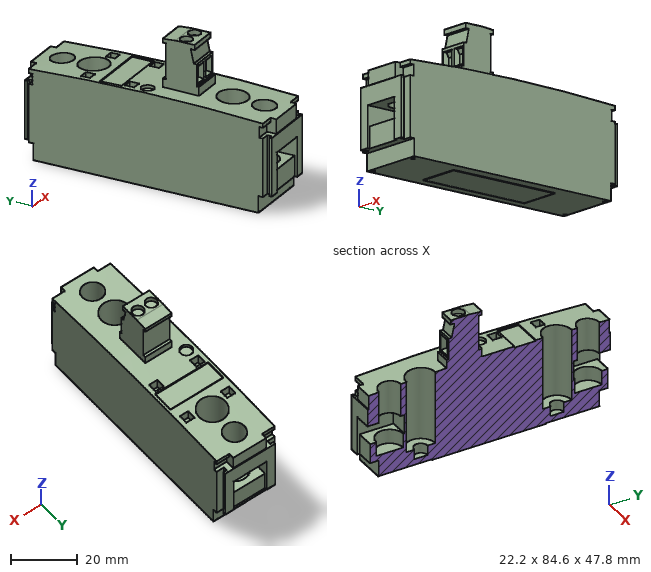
import cadquery as cq

width = 22.2
length = 84.6
base_length = 77.15
body_length = 80.2
base_top = 5.6
lid_bottom = 25.0
feet_height = 0.25

flange_width = 19.1
flange_thickness = 0.85
web_width = 16.6
window_width = 12.5
window_top = 18.95
terminal_top = 12.5
chamber_back = 29.6
terminal_hole_radius = 4.65
terminal_hole_depth = 4.9

crown_end_z = 29.9
crown_middle_z = 31.1
lid_length = 84.1
lid_ledge_z = 28.6
lid_neck_length = 77.7
access_hole_y = 34.6
access_hole_radius = 3.8
mount_hole_y = 23.8
counterbore_radius = 5.0
pilot_hole_radius = 2.3
pilot_hole_depth = 3.4

label_width = 20.1
label_length = 7.45
label_y = 12.5
label_floor_z = 30.6
latch_size = 3.1
latch_x = 7.8
latch_middle_y = 14.05
latch_offset_y = 7.5
latch_depth = 3.4
lamp_radius = 2.1
lamp_x = -7.8
lamp_y = 1.2
lamp_depth = 1.1

plug_width = 10.1
plug_pitch = 5.1
plug_back = -2.45
plug_body_back = -3.5
plug_body_front = -14.1
plug_base_front = -14.9
plug_base_top = 33.9
plug_shelf_back = -13.1
plug_shelf_z = 41.3
plug_neck_front = -12.1
plug_cap_front = -13.4
plug_cap_bottom = 45.85
plug_fold_y = -6.7
plug_top = 47.55
plug_back_top = 47.2
screw_hole_radius = 2.0
screw_hole_y = -9.2
screw_hole_depth = 1.7
wire_entry_width = 3.9
wire_entry_bottom = 34.7
wire_entry_top = 40.3
wire_entry_depth = 1.7
wire_seat_width = 2.8
wire_seat_bottom = 35.2
wire_seat_top = 40.1
wire_slope_bottom = 38.6
wire_slope_depth = 0.8

foot_radius = 0.6
foot_x = 9.3
foot_y = 37.6
pad_width = 14.2
pad_length = 39.6


def block(x_size, y_range, z_range):
    """Box centred on X = 0 between two Y values and two Z values."""
    y_low, y_high = y_range
    z_low, z_high = z_range
    solid = cq.Workplane("XY").box(x_size, y_high - y_low, z_high - z_low, centered=(True, False, False))
    return solid.translate((0, y_low, z_low))


def centred_block(x_size, y_size, z_range):
    return block(x_size, (-y_size / 2, y_size / 2), z_range)


def cylinder(x, y, radius, z_range):
    """Upright cylinder between two Z values."""
    z_low, z_high = z_range
    return cq.Workplane("XY", origin=(x, y, z_low)).circle(radius).extrude(z_high - z_low)


def at_both_ends(front):
    """A solid on the -Y end together with its mirror image on the +Y end."""
    return front.union(front.mirror("XZ"))


def housing():
    body = centred_block(width, base_length, (0, base_top))
    body = body.union(centred_block(width, body_length, (base_top, lid_bottom)))
    web_length = length - 2 * flange_thickness
    body = body.union(centred_block(web_width, web_length, (base_top, lid_bottom)))
    flange = block(flange_width, (-length / 2, -length / 2 + flange_thickness), (base_top, lid_bottom))
    return body.union(at_both_ends(flange))


def terminal_chambers():
    """Window through each flange, chamber above the terminal and hole into the terminal."""
    front = -length / 2
    window = block(window_width, (front, front + flange_thickness), (base_top, window_top))
    chamber = block(window_width, (front, -chamber_back), (terminal_top, window_top))
    hole_bottom = terminal_top - terminal_hole_depth
    hole = cylinder(0, -access_hole_y, terminal_hole_radius, (hole_bottom, terminal_top))
    return at_both_ends(window.union(chamber).union(hole))


def lid():
    """Cover with a crowned top; a tongue at each end reaches over the end plate."""
    half = length / 2
    crown = (
        cq.Workplane("YZ", origin=(-width / 2, 0, 0))
        .moveTo(-half, lid_bottom)
        .lineTo(half, lid_bottom)
        .lineTo(half, crown_end_z)
        .threePointArc((0, crown_middle_z), (-half, crown_end_z))
        .close()
        .extrude(width)
    )
    plan = centred_block(width, lid_neck_length, (lid_bottom, crown_middle_z))
    plan = plan.union(centred_block(width, body_length, (lid_ledge_z, crown_middle_z)))
    plan = plan.union(centred_block(window_width, lid_length, (lid_bottom, crown_middle_z)))
    return crown.intersect(plan)


def lid_holes():
    """Terminal access holes and counterbored blind mounting holes."""
    access = cylinder(0, -access_hole_y, access_hole_radius, (terminal_top, crown_middle_z))
    counterbore = cylinder(0, -mount_hole_y, counterbore_radius, (base_top, crown_middle_z))
    pilot = cylinder(0, -mount_hole_y, pilot_hole_radius, (base_top - pilot_hole_depth, base_top))
    return at_both_ends(access.union(counterbore).union(pilot))


def lid_recesses():
    """Label recess, four square latch pockets around it and the round lamp recess."""
    label_half = label_length / 2
    cuts = block(label_width, (label_y - label_half, label_y + label_half), (label_floor_z, crown_middle_z))
    for x in (-latch_x, latch_x):
        for y in (latch_middle_y - latch_offset_y, latch_middle_y + latch_offset_y):
            y_range = (y - latch_size / 2, y + latch_size / 2)
            pocket = block(latch_size, y_range, (crown_middle_z - latch_depth, crown_middle_z))
            cuts = cuts.union(pocket.translate((x, 0, 0)))
    return cuts.union(cylinder(lamp_x, lamp_y, lamp_radius, (crown_middle_z - lamp_depth, crown_middle_z)))


def wire_entry(x):
    """Funnel that narrows from the front face of the connector; its back wall leans forward at the top."""
    mouth_height = wire_entry_top - wire_entry_bottom
    seat_height = wire_seat_top - wire_seat_bottom
    mouth_z = (wire_entry_top + wire_entry_bottom) / 2
    seat_z = (wire_seat_top + wire_seat_bottom) / 2
    funnel = (
        cq.Workplane("XZ", origin=(x, plug_body_front, mouth_z))
        .rect(wire_entry_width, mouth_height)
        .workplane(offset=-wire_entry_depth)
        .center(0, seat_z - mouth_z)
        .rect(wire_seat_width, seat_height)
        .loft(ruled=True)
    )
    back = plug_body_front + wire_entry_depth
    sloped_corner = (
        cq.Workplane("YZ", origin=(x, 0, 0))
        .moveTo(back, wire_slope_bottom)
        .lineTo(back, wire_entry_top)
        .lineTo(back - wire_slope_depth, wire_entry_top)
        .close()
        .extrude(wire_entry_width / 2, both=True)
    )
    return funnel.cut(sloped_corner)


def connector():
    profile = [
        (plug_back, lid_bottom),
        (plug_back, plug_base_top),
        (plug_body_back, plug_base_top),
        (plug_body_back, plug_cap_bottom),
        (plug_back, plug_cap_bottom),
        (plug_back, plug_back_top),
        (plug_fold_y, plug_top),
        (plug_cap_front, plug_top),
        (plug_cap_front, plug_cap_bottom),
        (plug_neck_front, plug_cap_bottom),
        (plug_shelf_back, plug_shelf_z),
        (plug_body_front, plug_shelf_z),
        (plug_body_front, plug_base_top),
        (plug_base_front, plug_base_top),
        (plug_base_front, lid_bottom),
    ]
    plug = cq.Workplane("YZ").polyline(profile).close().extrude(plug_width / 2, both=True)
    for x in (-plug_pitch / 2, plug_pitch / 2):
        plug = plug.cut(cylinder(x, screw_hole_y, screw_hole_radius, (plug_top - screw_hole_depth, plug_top)))
        plug = plug.cut(wire_entry(x))
    return plug


def feet():
    """Thin central pad and four small round feet."""
    z_range = (-feet_height, 0)
    parts = centred_block(pad_width, pad_length, z_range)
    for x in (-foot_x, foot_x):
        for y in (-foot_y, foot_y):
            parts = parts.union(cylinder(x, y, foot_radius, z_range))
    return parts


case = housing().union(lid()).union(feet())
case = case.cut(terminal_chambers()).cut(lid_holes()).cut(lid_recesses())
result = case.union(connector())